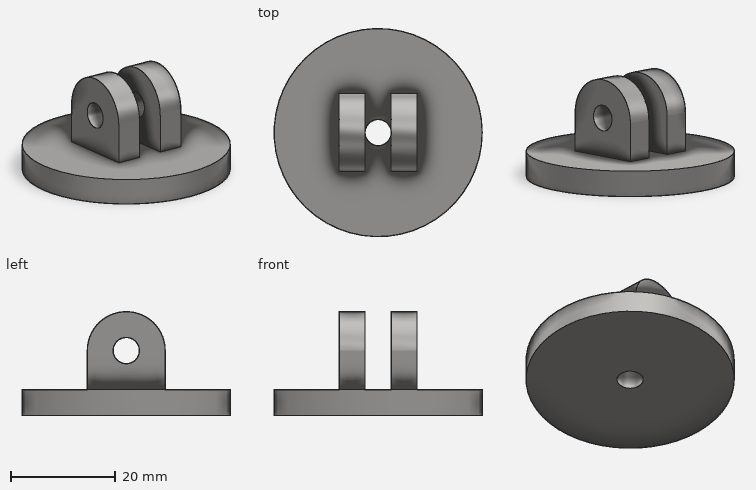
import cadquery as cq

base_diameter = 40.0
base_thickness = 5.0
base_hole_diameter = 5.0

lug_thickness = 5.0
lug_gap = 5.0
lug_width = 15.0
pin_hole_diameter = 5.0
overall_height = 20.0

lug_radius = lug_width / 2
pin_height = overall_height - lug_radius
lug_inner_x = lug_gap / 2


def make_base():
    """Disc resting on Z = 0 with a central through hole."""
    return (
        cq.Workplane("XY")
        .circle(base_diameter / 2)
        .circle(base_hole_diameter / 2)
        .extrude(base_thickness)
    )


def make_lug(start_x):
    """Upright lug with a full-round top and a pin hole along X, starting at start_x."""
    plate = (
        cq.Workplane("YZ", origin=(start_x, 0, 0))
        .moveTo(-lug_radius, base_thickness)
        .lineTo(lug_radius, base_thickness)
        .lineTo(lug_radius, pin_height)
        .threePointArc((0, overall_height), (-lug_radius, pin_height))
        .close()
        .extrude(lug_thickness)
    )
    pin_hole = (
        cq.Workplane("YZ", origin=(start_x, 0, 0))
        .center(0, pin_height)
        .circle(pin_hole_diameter / 2)
        .extrude(lug_thickness)
    )
    return plate.cut(pin_hole)


result = make_base()
for lug_start_x in (-lug_inner_x - lug_thickness, lug_inner_x):
    result = result.union(make_lug(lug_start_x))